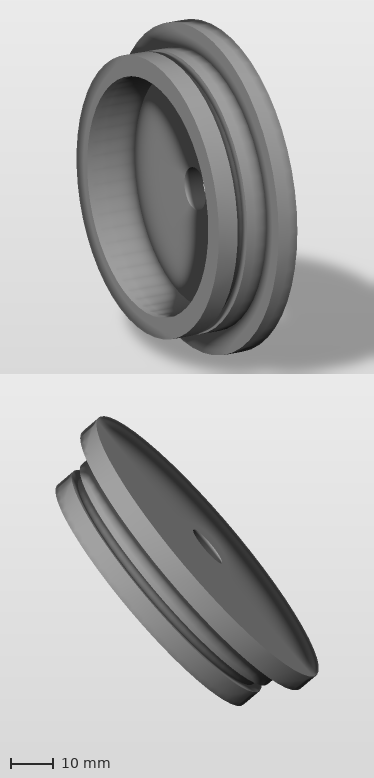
import cadquery as cq

flange_diameter = 78.75
body_diameter = 67.25
groove_diameter = 62.8
bore_diameter = 57.2
hole_diameter = 10.2

total_length = 17.8
flange_thickness = 5.0
land_length = 5.0
groove_width = 2.5
floor_thickness = flange_thickness


def cylinder(diameter, start, length):
    """Cylinder on the Y axis, from start toward +Y."""
    return cq.Workplane("XZ", origin=(0, start, 0)).circle(diameter / 2).extrude(-length)


body = cylinder(body_diameter, 0, total_length)
flange = cylinder(flange_diameter, total_length - flange_thickness, flange_thickness)

groove = cylinder(body_diameter, land_length, groove_width).cut(
    cylinder(groove_diameter, land_length, groove_width)
)

bore = cylinder(bore_diameter, 0, total_length - floor_thickness)
hole = cylinder(hole_diameter, 0, total_length)

result = body.union(flange).cut(groove).cut(bore).cut(hole)